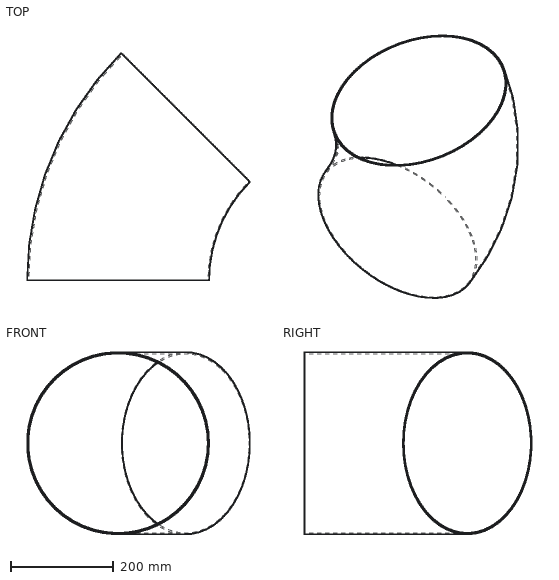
import cadquery as cq
import math


longest_side = 444.0
outer_diameter = 356.0
wall = 3.0
bend_angle = 45.0

outer_radius = outer_diameter / 2
bore_radius = outer_radius - wall
outside_bend_radius = longest_side / math.sin(math.radians(bend_angle))
bend_radius = outside_bend_radius - outer_radius

axis_upper_point = (bend_radius, 4.5, 0)
axis_lower_point = (bend_radius, 0, 0)

result = (
    cq.Workplane("XZ")
    .circle(outer_radius)
    .circle(bore_radius)
    .revolve(bend_angle, axis_upper_point, axis_lower_point)
)